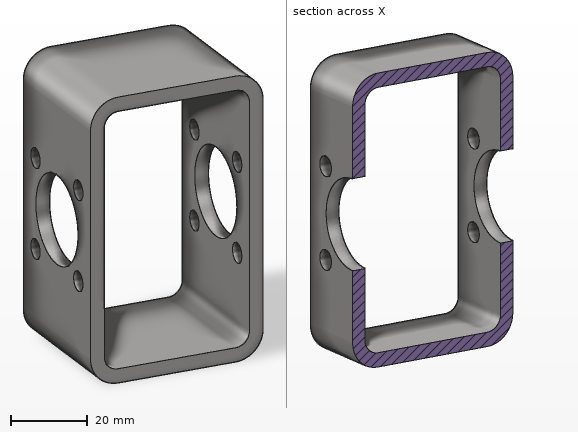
import cadquery as cq

length = 40.0
width = 50.0
height = 80.0
wall = 4.0
outer_radius = 8.0
inner_radius = outer_radius - wall

bore_diameter = 25.0
screw_diameter = 5.5
screw_spacing = 25.4


def rounded_bar(bar_width, bar_height, corner_radius):
    """Bar along X with its four long edges rounded."""
    return cq.Workplane("XY").box(length, bar_width, bar_height).edges("|X").fillet(corner_radius)


def make_tube():
    outside = rounded_bar(width, height, outer_radius)
    inside = rounded_bar(width - 2 * wall, height - 2 * wall, inner_radius)
    return outside.cut(inside)


def make_hole_cutters():
    """Centre bore and four screw holes, long enough to cross both side walls."""
    side = cq.Workplane("XZ")
    bore = side.circle(bore_diameter / 2).extrude(width, both=True)
    screws = (
        side.rect(screw_spacing, screw_spacing, forConstruction=True)
        .vertices()
        .circle(screw_diameter / 2)
        .extrude(width, both=True)
    )
    return bore, screws


bore_cutter, screw_cutters = make_hole_cutters()
result = make_tube().cut(bore_cutter).cut(screw_cutters)